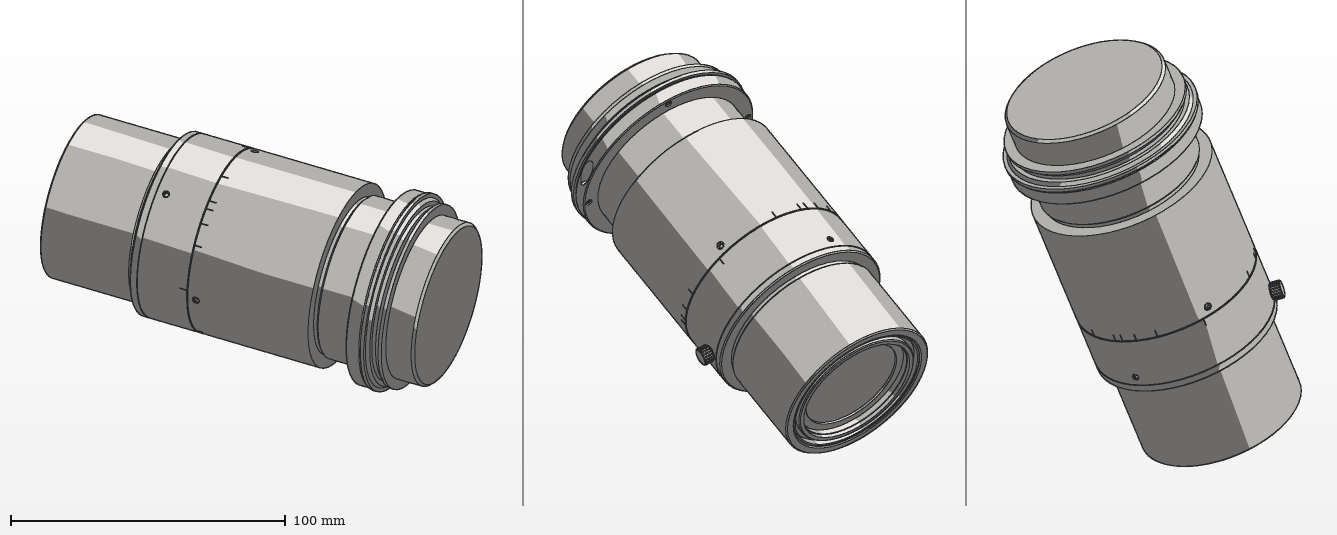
import cadquery as cq
import math

LENGTH = 149.0
OVERLAP = 1.0

BARREL_R = 31.0
BARREL_END = 35.9
BARREL_CHAMFER = 0.5
NECK_R = 30.2

BODY_R = 35.0
BODY_START = 37.45
BODY_END = 108.7
BODY_CHAMFER = 0.5
SEAM_X = 40.4
FOCUS_X = 60.3
SEAM_W = 0.15
FOCUS_GAP_W = 0.4
SEAM_DEPTH = 0.2

MOUNT_NECK_R = 30.0
MOUNT_NECK_END = 110.1
MOUNT_BARREL_R = 30.9
MOUNT_BARREL_START = 110.9
MOUNT_CHAMFER = 1.0

CLAMP_R = 37.0
CLAMP_START = 124.5
CLAMP_END = 130.2
CLAMP_CHAMFER = 0.4
CLAMP_GAP_R = 36.5

RIM_R = 37.5
RIM_START = 130.6
RIM_END = 132.0
SHOULDER_R = 36.0
DOVETAIL_R = 35.0
DOVETAIL_GROOVE_R = 33.2
DOVETAIL_START = 133.3
DOVETAIL_CONE_START = 134.8
DOVETAIL_CONE_END = 136.6
DOVETAIL_END = 137.9

RECESS_MOUTH_R = 28.0
RECESS_R = 27.4
RECESS_STEP_R = 26.7
RECESS_MOUTH_DEPTH = 0.3
RECESS_STEP_X = 0.6
RECESS_DEPTH = 3.0
RETAINER_R = 25.0
RETAINER_FACE_X = 0.4
RETAINER_CHAMFER = 0.4
RETAINER_BORE_R = 23.1
RETAINER_STEP_R = 22.73
RETAINER_STEP_X = 1.9
LENS_SEAT_X = 4.0
LENS_EDGE_X = 4.9
LENS_R = 19.75
LENS_SAG = 4.7

LOCK_X = 44.25
KNOB_R = 3.4
KNOB_STEM_R = 3.0
KNOB_BOTTOM = 35.2
KNOB_TOP = 39.22
KNOB_CHAMFER = 0.4
KNURL_COUNT = 20
KNURL_R = 0.3

LOCK_HOLE_D = 2.5
FOCUS_HOLE_D = 2.8
FOCUS_HOLE_X = 64.0
HOLE_DEPTH = 0.6
SET_SCREW_SOCKET = 1.9
SET_SCREW_SOCKET_DEPTH = 1.0

CLAMP_HOLE_D = 2.5
CLAMP_HOLE_PITCH_R = 34.65
CLAMP_SCREW_X = 127.4
CLAMP_SCREW_Y = 33.7
CLAMP_SCREW_D = 4.5
CLAMP_SCREW_SEAT_Z = 6.2
CLAMP_SCREW_SOCKET = 2.8
CLAMP_SCREW_SOCKET_DEPTH = 1.5

MARK_ANGLES = (7.8, 26.5, 31.7, 41.2, 54.8)
INDEX_ANGLE = 84.5
MARK_LENGTH = 2.7
MARK_W = 0.2
MARK_DEPTH = 0.1

THIRD_TURN = 120
QUARTER_TURN = 90
FOCUS_HOLE_ANGLE = 90
LOCK_HOLE_ANGLES = (30, 150)


def make_body():
    """Revolve the whole outer outline and the recessed lens face."""
    outline = (
        cq.Workplane("XY")
        .moveTo(LENS_EDGE_X + LENS_SAG, 0)
        .threePointArc(lens_arc_middle(), (LENS_EDGE_X, LENS_R))
        .lineTo(LENS_SEAT_X, LENS_R)
        .lineTo(LENS_SEAT_X, RETAINER_STEP_R)
        .lineTo(RETAINER_STEP_X, RETAINER_STEP_R)
        .lineTo(RETAINER_STEP_X, RETAINER_BORE_R)
        .lineTo(RETAINER_FACE_X, RETAINER_BORE_R)
        .lineTo(RETAINER_FACE_X, RETAINER_R - RETAINER_CHAMFER)
        .lineTo(RETAINER_FACE_X + RETAINER_CHAMFER, RETAINER_R)
        .lineTo(RECESS_DEPTH, RETAINER_R)
        .lineTo(RECESS_DEPTH, RECESS_STEP_R)
        .lineTo(RECESS_STEP_X, RECESS_STEP_R)
        .lineTo(RECESS_STEP_X, RECESS_R)
        .lineTo(RECESS_MOUTH_DEPTH, RECESS_R)
        .lineTo(0, RECESS_MOUTH_R)
        .lineTo(0, BARREL_R - BARREL_CHAMFER)
        .lineTo(BARREL_CHAMFER, BARREL_R)
        .lineTo(BARREL_END - BARREL_CHAMFER, BARREL_R)
        .lineTo(BARREL_END, BARREL_R - BARREL_CHAMFER)
        .lineTo(BARREL_END, NECK_R)
        .lineTo(BODY_START, NECK_R)
        .lineTo(BODY_START, BODY_R - BODY_CHAMFER)
        .lineTo(BODY_START + BODY_CHAMFER, BODY_R)
        .lineTo(BODY_END, BODY_R)
        .lineTo(BODY_END, MOUNT_NECK_R)
        .lineTo(MOUNT_NECK_END, MOUNT_NECK_R)
        .lineTo(MOUNT_BARREL_START, MOUNT_BARREL_R)
        .lineTo(CLAMP_START, MOUNT_BARREL_R)
        .lineTo(CLAMP_START, CLAMP_R - CLAMP_CHAMFER)
        .lineTo(CLAMP_START + CLAMP_CHAMFER, CLAMP_R)
        .lineTo(CLAMP_END - CLAMP_CHAMFER, CLAMP_R)
        .lineTo(CLAMP_END, CLAMP_GAP_R)
        .lineTo(RIM_START, CLAMP_GAP_R)
        .lineTo(RIM_START, RIM_R)
        .lineTo(RIM_END, RIM_R)
        .lineTo(RIM_END, SHOULDER_R)
        .lineTo(DOVETAIL_START, DOVETAIL_R)
        .lineTo(DOVETAIL_START, DOVETAIL_GROOVE_R)
        .lineTo(DOVETAIL_CONE_START, DOVETAIL_GROOVE_R)
        .lineTo(DOVETAIL_CONE_END, DOVETAIL_R)
        .lineTo(DOVETAIL_END, DOVETAIL_R)
        .lineTo(DOVETAIL_END, BARREL_R)
        .lineTo(LENGTH - MOUNT_CHAMFER, BARREL_R)
        .lineTo(LENGTH, BARREL_R - MOUNT_CHAMFER)
        .lineTo(LENGTH, 0)
        .close()
    )
    return outline.revolve(360, (0, 0, 0), (1, 0, 0))


def lens_arc_middle():
    """Point halfway along the concave lens arc, from the vertex to the lens edge."""
    sphere_r = (LENS_R**2 + LENS_SAG**2) / (2 * LENS_SAG)
    half_angle = math.asin(LENS_R / sphere_r) / 2
    vertex_x = LENS_EDGE_X + LENS_SAG
    return (vertex_x - sphere_r * (1 - math.cos(half_angle)), sphere_r * math.sin(half_angle))


def ring_groove(start_x, width, depth):
    """Ring that cuts a groove of the given width and depth into the main body."""
    return (
        cq.Workplane("YZ", origin=(start_x, 0, 0))
        .circle(BODY_R + OVERLAP)
        .circle(BODY_R - depth)
        .extrude(width)
    )


def screw_hole(diameter):
    """Hole along Z with its mouth at z = 0 and the hex socket of a sunk set screw in its floor."""
    floor = cq.Workplane("XY", origin=(0, 0, -HOLE_DEPTH))
    hole = floor.circle(diameter / 2).extrude(2 * HOLE_DEPTH)
    socket = floor.polygon(6, SET_SCREW_SOCKET).extrude(-SET_SCREW_SOCKET_DEPTH)
    return hole.union(socket)


def radial_hole(x, diameter, angle):
    """Set-screw hole into the main body; the angle runs from +Z toward -Y."""
    return screw_hole(diameter).translate((x, 0, BODY_R)).rotate((0, 0, 0), (1, 0, 0), angle)


def scale_mark(start_x, angle):
    """Fine engraved line along X; the angle runs from +Z toward -Y."""
    mark = cq.Workplane("XY").box(MARK_LENGTH, MARK_W, 2 * MARK_DEPTH, centered=(False, True, True))
    return mark.translate((start_x, 0, BODY_R)).rotate((0, 0, 0), (1, 0, 0), angle)


def add_lock_knob(part):
    """Knurled knob of the locking screw on a short stem, standing on the +Y side."""
    stem = cq.Workplane("XZ", origin=(LOCK_X, BODY_R - OVERLAP, 0)).circle(KNOB_STEM_R).extrude(-2 * OVERLAP)
    knob_base = cq.Workplane("XZ", origin=(LOCK_X, KNOB_BOTTOM, 0))
    knob_height = KNOB_TOP - KNOB_BOTTOM
    knob = knob_base.circle(KNOB_R).extrude(-knob_height).faces("<Y or >Y").chamfer(KNOB_CHAMFER)
    flutes = knob_base.polarArray(KNOB_R, 0, 360, KNURL_COUNT).circle(KNURL_R).extrude(-knob_height)
    return part.union(stem).union(knob.cut(flutes))


def cut_body_details(part):
    """Grooves, set-screw holes and scale marks of the main body."""
    part = part.cut(ring_groove(SEAM_X, SEAM_W, SEAM_DEPTH))
    part = part.cut(ring_groove(FOCUS_X, FOCUS_GAP_W, SEAM_DEPTH))
    for turn in range(0, 360, THIRD_TURN):
        part = part.cut(radial_hole(FOCUS_HOLE_X, FOCUS_HOLE_D, FOCUS_HOLE_ANGLE + turn))
        part = part.cut(scale_mark(FOCUS_X - MARK_LENGTH, INDEX_ANGLE + turn))
        for angle in MARK_ANGLES:
            part = part.cut(scale_mark(FOCUS_X + FOCUS_GAP_W, angle + turn))
    for angle in LOCK_HOLE_ANGLES:
        part = part.cut(radial_hole(LOCK_X, LOCK_HOLE_D, angle))
    return part


def cut_clamp_holes(part):
    """Four holes in the face of the clamp ring and the tangential clamp screw."""
    face_hole = screw_hole(CLAMP_HOLE_D).rotate((0, 0, 0), (0, 1, 0), -90)
    face_hole = face_hole.translate((CLAMP_START, 0, CLAMP_HOLE_PITCH_R))
    for angle in range(0, 360, QUARTER_TURN):
        part = part.cut(face_hole.rotate((0, 0, 0), (1, 0, 0), angle))
    seat = cq.Workplane("XY", origin=(CLAMP_SCREW_X, CLAMP_SCREW_Y, CLAMP_SCREW_SEAT_Z))
    counterbore = seat.circle(CLAMP_SCREW_D / 2).extrude(CLAMP_R)
    socket = seat.polygon(6, CLAMP_SCREW_SOCKET).extrude(-CLAMP_SCREW_SOCKET_DEPTH)
    return part.cut(counterbore).cut(socket)


result = cut_clamp_holes(cut_body_details(add_lock_knob(make_body())))